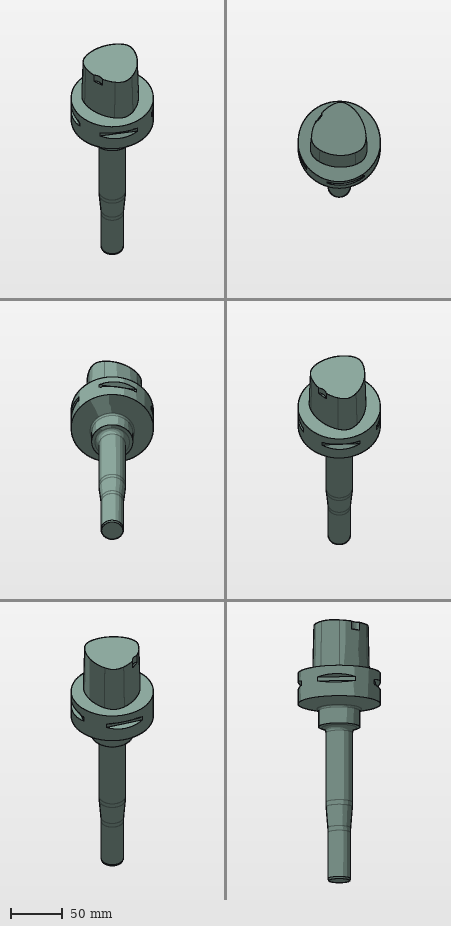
import cadquery as cq
import math

flange_radius = 80.0 / 2
flange_height = 30.0

collar_radius = 40.0 / 2
collar_bottom = -53.0
neck_radius = 26.0 / 2
tip_radius = 22.0 / 2
shoulder_angle = math.radians(15)
flange_fillet = 2.0
collar_fillet = 5.0
taper_start = -127.5
taper_end = -157.4
taper_blend_height = 4.5
stem_bottom = -205.2
tip_chamfer_height = 2.0
tip_chamfer_width = 0.8

shank_height = 47.8
shank_base_width = 55.2
shank_taper = 1 / 20
lobe_eccentricity = 2.0
lobe_half_angle = 33
curve_points = 9

notch_width = 10.0
notch_height = 7.8
notch_floor_y = -22.5
notch_radius = 9.0

groove_count = 4
groove_first_angle = 45
groove_z = -12.5
groove_floor_height = 3.8
groove_floor_radius = 35.5
groove_flare = 0.5


def shoulder_blend(outer_radius, top_z, inner_radius, fillet):
    """Ends of a conical shoulder's fillet, with the point midway along it, as (r, z)."""
    center_r = inner_radius + fillet
    sweep = math.pi / 2 - shoulder_angle
    cone_r = center_r - fillet * math.cos(sweep)
    cone_z = top_z - (outer_radius - cone_r) * math.tan(shoulder_angle)
    center_z = cone_z - fillet * math.sin(sweep)
    middle = (
        center_r - fillet * math.cos(sweep / 2),
        center_z + fillet * math.sin(sweep / 2),
    )
    return (cone_r, cone_z), middle, (inner_radius, center_z)


def turned_body():
    """Flange, collar, neck and tip, revolved about Z."""
    upper = shoulder_blend(flange_radius, -flange_height, collar_radius, flange_fillet)
    lower = shoulder_blend(collar_radius, collar_bottom, neck_radius, collar_fillet)

    taper_length = taper_start - taper_end
    taper_slope = (neck_radius - tip_radius) / (taper_length - taper_blend_height)
    taper_angle = math.atan(taper_slope)
    blend_radius = taper_blend_height / math.sin(taper_angle)
    blend_width = blend_radius * (1 - math.cos(taper_angle))
    middle_width = blend_radius * (1 - math.cos(taper_angle / 2))
    middle_height = blend_radius * math.sin(taper_angle / 2)

    profile = (
        cq.Workplane("XZ")
        .lineTo(flange_radius, 0)
        .lineTo(flange_radius, -flange_height)
        .lineTo(*upper[0])
        .threePointArc(upper[1], upper[2])
        .lineTo(collar_radius, collar_bottom)
        .lineTo(*lower[0])
        .threePointArc(lower[1], lower[2])
        .lineTo(neck_radius, taper_start)
        .threePointArc(
            (neck_radius - middle_width, taper_start - middle_height),
            (neck_radius - blend_width, taper_start - taper_blend_height),
        )
        .lineTo(tip_radius + blend_width, taper_end + taper_blend_height)
        .threePointArc(
            (tip_radius + middle_width, taper_end + middle_height),
            (tip_radius, taper_end),
        )
        .lineTo(tip_radius, stem_bottom + tip_chamfer_height)
        .lineTo(tip_radius - tip_chamfer_width, stem_bottom)
        .lineTo(0, stem_bottom)
        .close()
    )
    return profile.revolve(360, (0, 0, 0), (0, 1, 0))


def lobed_point(width, angle, z):
    """Point of a constant-width three-lobed curve whose normal is at the angle, in degrees."""
    normal = math.radians(angle)
    from_lobe = 3 * math.radians(angle - 90)
    support = width / 2 + lobe_eccentricity * math.cos(from_lobe)
    slope = -3 * lobe_eccentricity * math.sin(from_lobe)
    x = support * math.cos(normal) - slope * math.sin(normal)
    y = support * math.sin(normal) + slope * math.cos(normal)
    return cq.Vector(x, y, z)


def lobed_wire(width, z):
    """Three lobes alternating with three flatter sides, each one smooth curve."""
    seams = []
    for lobe_angle in (90, 210, 330):
        seams += [lobe_angle - lobe_half_angle, lobe_angle + lobe_half_angle]
    edges = []
    for start, end in zip(seams, seams[1:] + [seams[0] + 360]):
        step = (end - start) / (curve_points - 1)
        points = [lobed_point(width, start + i * step, z) for i in range(curve_points)]
        edges.append(cq.Edge.makeSpline(points))
    return cq.Wire.assembleEdges(edges)


def shank():
    top_width = shank_base_width - shank_taper * shank_height
    base = lobed_wire(shank_base_width, 0)
    top = lobed_wire(top_width, shank_height)
    return cq.Workplane(cq.Solid.makeLoft([base, top], True))


def key_notch():
    """Notch with a concave cylindrical back wall."""
    cutter = (
        cq.Workplane("XY", origin=(0, 0, shank_height - notch_height))
        .center(0, notch_floor_y - notch_radius)
        .circle(notch_radius)
        .extrude(notch_height)
    )
    limits = (
        cq.Workplane("XY", origin=(0, notch_floor_y, shank_height - notch_height))
        .rect(notch_width, 2 * notch_radius)
        .extrude(notch_height)
    )
    return cutter.intersect(limits)


def gripper_groove(angle):
    """Straight flared groove across the flange rim, facing the given angle."""
    rise = groove_flare * (flange_radius - groove_floor_radius)
    half_floor = groove_floor_height / 2
    return (
        cq.Workplane("XZ")
        .moveTo(groove_floor_radius, groove_z - half_floor)
        .lineTo(flange_radius, groove_z - half_floor - rise)
        .lineTo(flange_radius, groove_z + half_floor + rise)
        .lineTo(groove_floor_radius, groove_z + half_floor)
        .close()
        .extrude(flange_radius, both=True)
        .rotate((0, 0, 0), (0, 0, 1), angle)
    )


result = turned_body().union(shank()).cut(key_notch())
for index in range(groove_count):
    result = result.cut(gripper_groove(groove_first_angle + index * 360 / groove_count))